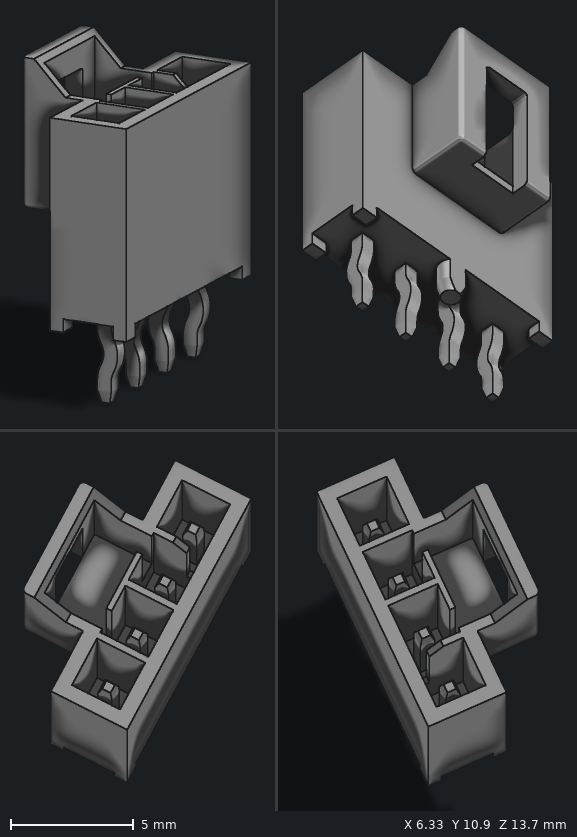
import cadquery as cq
import math


body_depth = 3.51
body_width = 10.94
body_top = 9.03
foot_height = 0.58
foot_depth = 0.6
foot_width = 0.81

contact_count = 4
pitch = 2.5
cavity_size = 2.21
cavity_floor = 2.4
contact_x = body_depth / 2
contact_ys = [(i - (contact_count - 1) / 2) * pitch for i in range(contact_count)]
cavity_front = contact_x - cavity_size / 2
cavity_back = contact_x + cavity_size / 2

hood_reach = 2.82
hood_width = 5.25
hood_bottom = 4.06
hood_top = 10.49
hood_lip = 0.59
hood_side_wall = 0.44
hood_front_wall = 0.84
hood_floor = 0.43
hood_fillet = 0.25
hood_floor_top = hood_bottom + hood_floor
window_width = 2.35
window_top = 9.16
window_fillet = 0.18

plate_thickness = 0.25
plate_width = 2.69

notch_start = 2.17
notch_chamfer = 0.63

peg_radius = 0.6
peg_tip_radius = 0.43
peg_x = 0.41
peg_shoulder = -0.44
peg_bottom = -1.01

pin_size = 0.65
pin_tip_size = 0.38
pin_tip_length = 0.53
pin_top = 6.85
pin_bottom = -3.22
kink_top = 0.0
kink_half_length = 1.12
kink_offset = 0.29


def block(x_min, x_max, y_min, y_max, z_min, z_max):
    """Box given by its limits along each axis."""
    size = (x_max - x_min, y_max - y_min, z_max - z_min)
    return cq.Workplane("XY").box(*size, centered=False).translate((x_min, y_min, z_min))


def centred_block(x_min, x_max, width, z_min, z_max):
    """Box that is symmetric about Y = 0."""
    return block(x_min, x_max, -width / 2, width / 2, z_min, z_max)


def make_body():
    """Plain housing on four corner feet."""
    body = centred_block(0, body_depth, body_width, 0, body_top)
    between_ends = centred_block(0, body_depth, body_width - 2 * foot_width, 0, foot_height)
    between_faces = centred_block(foot_depth, body_depth - foot_depth, body_width, 0, foot_height)
    return body.cut(between_ends).cut(between_faces)


def make_hood():
    """Solid hood with a sloped top and rounded front and bottom edges."""
    slope = hood_top - body_top
    outline = [
        (0, hood_bottom),
        (-hood_reach, hood_bottom),
        (-hood_reach, hood_top),
        (hood_lip - hood_reach, hood_top),
        (hood_lip - hood_reach + slope, body_top),
        (0, body_top),
    ]
    hood = cq.Workplane("XZ").polyline(outline).close().extrude(hood_width / 2, both=True)
    return hood.edges("(<X and |Z) or (<Z and |X) or (<Z and <X)").fillet(hood_fillet)


def make_hood_pocket():
    """Open-topped space inside the hood, reaching back to the cavities."""
    pocket_front = hood_front_wall - hood_reach
    pocket_width = hood_width - 2 * hood_side_wall
    return centred_block(pocket_front, cavity_front, pocket_width, hood_floor_top, hood_top)


def make_window():
    """Latch window through the front wall of the hood, open at the bottom."""
    window_back = hood_front_wall - hood_reach
    window = centred_block(-hood_reach, window_back, window_width, hood_bottom, window_top)
    return window.edges("|X and >Z").fillet(window_fillet)


def make_notch():
    """Lowered, chamfered end of the divider between the last two cavities."""
    outline = [
        (notch_start, hood_floor_top),
        (cavity_back, hood_floor_top),
        (cavity_back, body_top),
        (notch_start - notch_chamfer, body_top),
        (notch_start, body_top - notch_chamfer),
    ]
    notch = cq.Workplane("XZ").polyline(outline).close().extrude((pitch - cavity_size) / 2, both=True)
    return notch.translate((0, (contact_ys[-1] + contact_ys[-2]) / 2, 0))


def make_peg():
    """Round tapered peg, cut flush with the front face of the housing."""
    profile = [
        (0, foot_height),
        (peg_radius, foot_height),
        (peg_radius, peg_shoulder),
        (peg_tip_radius, peg_bottom),
        (0, peg_bottom),
    ]
    peg = cq.Workplane("XZ").polyline(profile).close().revolve(360, (0, 0), (0, 1))
    in_front = centred_block(-peg_radius, 0, 2 * peg_radius, peg_bottom, foot_height)
    return peg.translate((peg_x, 0, 0)).cut(in_front)


def make_pin_tip(z_base, direction):
    """Tapered pin end that points up (direction 1) or down (direction -1)."""
    wide = cq.Workplane("XY").workplane(offset=z_base).rect(pin_size, pin_size)
    narrow = wide.workplane(offset=direction * pin_tip_length).rect(pin_tip_size, pin_tip_size)
    return narrow.loft(combine=True)


def make_pin(side):
    """Square pin whose tail kinks toward +X (side 1) or -X (side -1)."""
    kink_angle = 2 * math.atan(kink_offset / kink_half_length)
    bend_radius = kink_half_length / (2 * math.sin(kink_angle))
    kink_middle = kink_top - kink_half_length
    kink_bottom = kink_top - 2 * kink_half_length

    def entry_point(x, angle):
        radius = bend_radius - x
        return bend_radius - radius * math.cos(angle), kink_top - radius * math.sin(angle)

    def crest_point(x, angle):
        radius = bend_radius + x
        crest_centre = kink_offset - bend_radius
        return crest_centre + radius * math.cos(angle), kink_middle + radius * math.sin(angle)

    def mirrored(point):
        return point[0], 2 * kink_middle - point[1]

    half = pin_size / 2
    shank_top = pin_top - pin_tip_length
    shank_bottom = pin_bottom + pin_tip_length
    outer_entry = entry_point(half, kink_angle / 2)
    outer_join = entry_point(half, kink_angle)
    inner_entry = entry_point(-half, kink_angle / 2)
    inner_join = entry_point(-half, kink_angle)

    shank = (
        cq.Workplane("XZ")
        .moveTo(half, shank_top)
        .lineTo(half, kink_top)
        .threePointArc(outer_entry, outer_join)
        .threePointArc(crest_point(half, 0), mirrored(outer_join))
        .threePointArc(mirrored(outer_entry), (half, kink_bottom))
        .lineTo(half, shank_bottom)
        .lineTo(-half, shank_bottom)
        .lineTo(-half, kink_bottom)
        .threePointArc(mirrored(inner_entry), mirrored(inner_join))
        .threePointArc(crest_point(-half, 0), inner_join)
        .threePointArc(inner_entry, (-half, kink_top))
        .lineTo(-half, shank_top)
        .close()
        .extrude(half, both=True)
    )
    pin = shank.union(make_pin_tip(shank_top, 1)).union(make_pin_tip(shank_bottom, -1))
    return pin if side > 0 else pin.mirror("YZ")


result = make_body().union(make_hood())
for contact_y in contact_ys:
    y_min = contact_y - cavity_size / 2
    y_max = contact_y + cavity_size / 2
    result = result.cut(block(cavity_front, cavity_back, y_min, y_max, cavity_floor, body_top))
result = result.cut(make_hood_pocket()).cut(make_window()).cut(make_notch())

plate_front = cavity_front - plate_thickness
result = result.union(centred_block(plate_front, cavity_front, plate_width, hood_floor_top, body_top))
result = result.union(make_peg())

for contact_y in contact_ys:
    kink_side = 1 if abs(contact_y) > pitch else -1
    result = result.union(make_pin(kink_side).translate((contact_x, contact_y, 0)))